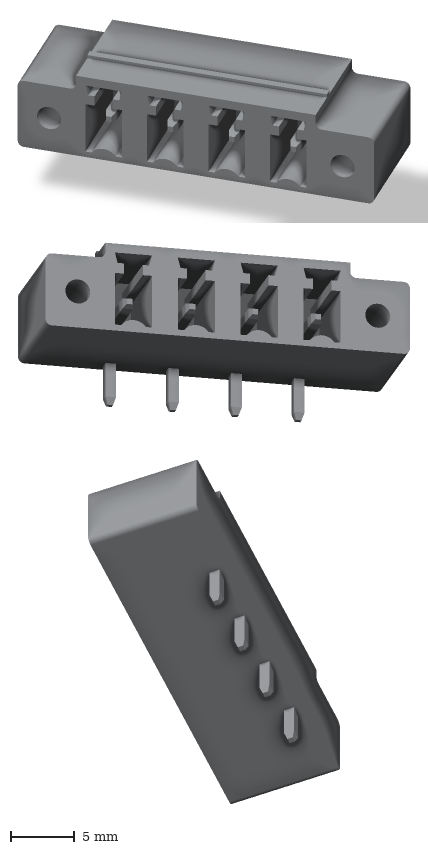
import cadquery as cq


flange_length = 29.44
block_length = 19.8
depth = 9.2
flange_height = 6.0
block_height = 7.25
edge_radius = 0.5

rib_height = 0.3
rib_width = 0.65
rib_front = 2.85

pole_count = 4
pole_pitch = 5.08
pole_positions = [(i - (pole_count - 1) / 2) * pole_pitch for i in range(pole_count)]

cavity_depth = 7.0
cavity_half_width = 1.5
cavity_floor = 0.5
cavity_shoulder = 4.8
neck_half_width = 0.75
head_bottom = 5.65
head_top = 6.5
head_bottom_half_width = 1.28
floor_bump_half_width = 1.0
floor_bump_height = 0.5

pin_size = 0.85
pin_tip_size = 0.46
pin_tip_length = 0.6
contact_height = flange_height / 2
contact_recess = 1.3
solder_pin_y = 8.0
solder_pin_length = 3.4

insert_spacing = 24.24
insert_diameter = 4.0
insert_hole_diameter = 2.0
insert_depth = 7.0


def make_housing():
    flange = (
        cq.Workplane("XY")
        .box(flange_length, depth, flange_height, centered=(True, False, False))
        .edges("|Y")
        .fillet(edge_radius)
    )
    block = cq.Workplane("XY").box(block_length, depth, block_height, centered=(True, False, False))
    half_window = edge_radius / 2
    concave_edges = cq.selectors.BoxSelector(
        (-block_length / 2 - half_window, 0, flange_height - half_window),
        (block_length / 2 + half_window, depth, flange_height + half_window),
    )
    return flange.union(block).edges(concave_edges).edges("|Y").fillet(edge_radius)


def make_rib():
    return (
        cq.Workplane("XY")
        .box(block_length, rib_width, rib_height, centered=(True, False, False))
        .translate((0, rib_front, block_height))
    )


def make_cavity(x):
    """Keyhole-shaped pocket with a rounded ridge along its floor."""
    return (
        cq.Workplane("XZ")
        .moveTo(-cavity_half_width, cavity_floor)
        .lineTo(-floor_bump_half_width, cavity_floor)
        .threePointArc((0, cavity_floor + floor_bump_height), (floor_bump_half_width, cavity_floor))
        .lineTo(cavity_half_width, cavity_floor)
        .lineTo(cavity_half_width, cavity_shoulder)
        .lineTo(neck_half_width, cavity_shoulder)
        .lineTo(neck_half_width, head_bottom)
        .lineTo(head_bottom_half_width, head_bottom)
        .lineTo(cavity_half_width, head_top)
        .lineTo(-cavity_half_width, head_top)
        .lineTo(-head_bottom_half_width, head_bottom)
        .lineTo(-neck_half_width, head_bottom)
        .lineTo(-neck_half_width, cavity_shoulder)
        .lineTo(-cavity_half_width, cavity_shoulder)
        .close()
        .extrude(-cavity_depth)
        .translate((x, 0, 0))
    )


def make_tapered_pin(start, direction, length):
    """Square pin running from start along direction, with a pyramidal tip at its far end."""
    shaft_length = length - pin_tip_length
    base = cq.Workplane(cq.Plane(origin=start, xDir=(1, 0, 0), normal=direction))
    shaft = base.rect(pin_size, pin_size).extrude(shaft_length)
    tip = (
        base.workplane(offset=shaft_length)
        .rect(pin_size, pin_size)
        .workplane(offset=pin_tip_length)
        .rect(pin_tip_size, pin_tip_size)
        .loft(ruled=True)
    )
    return shaft.union(tip)


def make_contact(x):
    """Bent pin: one leg points to the mating face, the other down to the board."""
    bend = (x, solder_pin_y, contact_height)
    mating_leg = make_tapered_pin(bend, (0, -1, 0), solder_pin_y - contact_recess)
    solder_leg = make_tapered_pin(bend, (0, 0, -1), contact_height + solder_pin_length)
    return mating_leg.union(solder_leg)


def make_cylinder(x, diameter):
    """Cylinder running back from the mating face at an insert position."""
    return (
        cq.Workplane("XZ")
        .center(x, flange_height / 2)
        .circle(diameter / 2)
        .extrude(-insert_depth)
    )


result = make_housing().union(make_rib())

for pole_x in pole_positions:
    result = result.cut(make_cavity(pole_x))
    result = result.union(make_contact(pole_x))

for insert_x in (-insert_spacing / 2, insert_spacing / 2):
    pocket = make_cylinder(insert_x, insert_diameter)
    insert = pocket.cut(make_cylinder(insert_x, insert_hole_diameter))
    result = result.cut(pocket, clean=False).union(insert, clean=False)